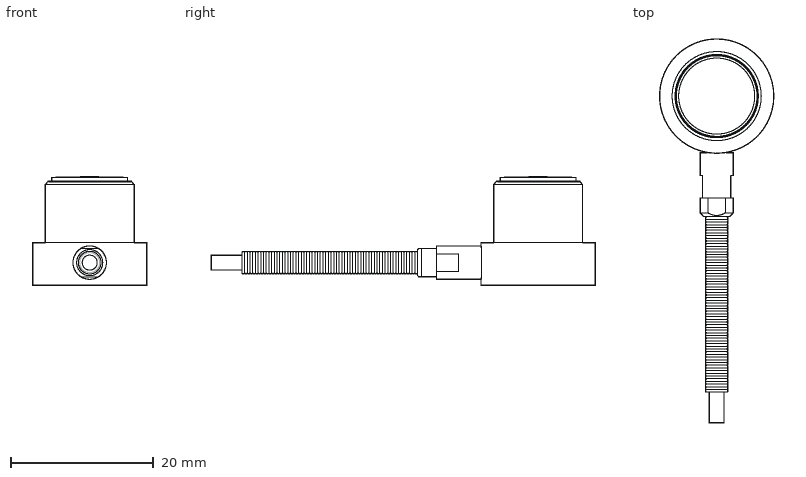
import cadquery as cq
base_diameter = 16.0
base_height = 5.95
body_diameter = 12.5
rim_height = 14.6
rim_bevel_height = 0.5
rim_diameter = 11.65
recess_diameter = 11.55
recess_depth = 0.8

ring_bore_diameter = 11.3
ring_setback = 0.1
ring_height = recess_depth - ring_setback

cap_diameter = 10.65
cap_edge_height = 15.1
cap_apex_height = 15.2

cable_axis_height = 3.15
fitting_diameter = 4.7
fitting_start = 7.9
fitting_end = 14.25
fitting_flat_length = 3.1
flat_width = 4.0

nut_end = 16.9
nut_bevel_length = 0.55
nut_face_diameter = 3.65

hose_diameter = 3.15
hose_end = 41.45
ring_count = 65
ring_pitch = (hose_end - nut_end) / ring_count
hose_valley_diameter = hose_diameter - ring_pitch

cable_diameter = 2.1
total_length = 53.8
cable_end = total_length - base_diameter / 2

recess_floor = rim_height - recess_depth


def cable_cylinder(diameter, start, end):
    """Cylinder on the cable axis between two distances from the housing axis, towards -Y."""
    return (
        cq.Workplane("XZ", origin=(0, -start, cable_axis_height))
        .circle(diameter / 2)
        .extrude(end - start)
    )


def revolve_about_cable(points):
    """Solid of revolution from (radius, distance from the housing axis) points."""
    return (
        cq.Workplane("XY", origin=(0, 0, cable_axis_height))
        .polyline([(radius, -distance) for radius, distance in points])
        .close()
        .revolve(360, (0, 0), (0, 1))
    )


def make_housing():
    profile = [
        (0, 0),
        (base_diameter / 2, 0),
        (base_diameter / 2, base_height),
        (body_diameter / 2, base_height),
        (body_diameter / 2, rim_height - rim_bevel_height),
        (rim_diameter / 2, rim_height),
        (recess_diameter / 2, rim_height),
        (recess_diameter / 2, recess_floor),
        (0, recess_floor),
    ]
    housing = cq.Workplane("XZ").polyline(profile).close().revolve(360, (0, 0), (0, 1))
    return housing.cut(cable_cylinder(fitting_diameter, fitting_start, fitting_end))


def make_ring():
    return (
        cq.Workplane("XY", origin=(0, 0, recess_floor))
        .circle(recess_diameter / 2)
        .circle(ring_bore_diameter / 2)
        .extrude(ring_height)
    )


def make_cap():
    profile = [
        (0, recess_floor),
        (cap_diameter / 2, recess_floor),
        (cap_diameter / 2, cap_edge_height),
        (0, cap_apex_height),
    ]
    return cq.Workplane("XZ").polyline(profile).close().revolve(360, (0, 0), (0, 1))


def make_fitting():
    fitting = cable_cylinder(fitting_diameter, fitting_start, fitting_end)
    flats_middle = fitting_end - fitting_flat_length / 2
    flats_zone = cq.Workplane("XY", origin=(0, -flats_middle, cable_axis_height)).box(
        fitting_diameter, fitting_flat_length, fitting_diameter
    )
    kept_core = cq.Workplane("XY", origin=(0, -flats_middle, cable_axis_height)).box(
        flat_width, fitting_flat_length, fitting_diameter
    )
    return fitting.cut(flats_zone.cut(kept_core))


def make_nut():
    blank = revolve_about_cable(
        [
            (hose_valley_diameter / 2, fitting_end),
            (fitting_diameter / 2, fitting_end),
            (fitting_diameter / 2, nut_end - nut_bevel_length),
            (nut_face_diameter / 2, nut_end),
            (hose_valley_diameter / 2, nut_end),
        ]
    )
    nut_length = nut_end - fitting_end
    nut_middle = fitting_end + nut_length / 2
    across_flats = cq.Workplane("XY", origin=(0, -nut_middle, cable_axis_height)).box(
        fitting_diameter, nut_length, flat_width
    )
    return blank.intersect(across_flats)


def make_hose():
    bore_radius = cable_diameter / 2
    valley_radius = hose_valley_diameter / 2
    crest_radius = hose_diameter / 2
    outline = (
        cq.Workplane("XY", origin=(0, 0, cable_axis_height))
        .moveTo(bore_radius, -fitting_end)
        .lineTo(valley_radius, -fitting_end)
        .lineTo(valley_radius, -nut_end)
    )
    for index in range(ring_count):
        ring_start = nut_end + index * ring_pitch
        crest = (crest_radius, -(ring_start + ring_pitch / 2))
        ring_foot = (valley_radius, -(ring_start + ring_pitch))
        outline = outline.threePointArc(crest, ring_foot)
    outline = outline.lineTo(bore_radius, -hose_end).close()
    return outline.revolve(360, (0, 0), (0, 1))


def make_cable():
    return cable_cylinder(cable_diameter, fitting_end, cable_end)


housing = make_housing()
ring = make_ring()
cap = make_cap()
fitting = make_fitting()
nut = make_nut()
hose = make_hose()
cable = make_cable()

result = cq.Compound.makeCompound(
    [
        housing.val(),
        ring.val(),
        cap.val(),
        fitting.val(),
        nut.val(),
        hose.val(),
        cable.val(),
    ]
)